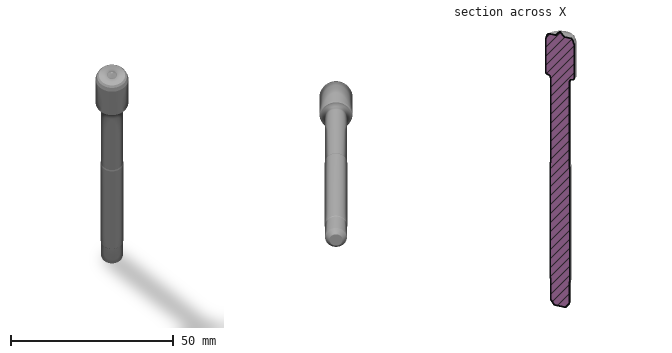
import cadquery as cq

total_length = 91.65
head_radius = 10.1 / 2
shaft_radius = 6.7 / 2
sleeve_radius = 7.0 / 2

point_radius = 3.0 / 2
point_height = point_radius

head_length = 13.4
top_chamfer = 0.55
taper_height = 1.3
taper_top_radius = 4.6
under_chamfer = 0.4
neck_fillet = 1.2

sleeve_top = 47.6
sleeve_top_taper = 0.55
sleeve_bottom = 8.6
sleeve_bottom_taper = 0.3

tip_height = 1.6
tip_radius = 2.0

head_top = total_length - point_height
taper_top = head_top - top_chamfer
taper_bottom = taper_top - taper_height
head_bottom = head_top - head_length - under_chamfer
neck_bottom = head_bottom - neck_fillet


def make_body():
    """Revolve the lower end, shaft, sleeve and head as one half profile."""
    fillet_drop = neck_fillet * 0.5 ** 0.5
    fillet_middle = (
        shaft_radius + neck_fillet - fillet_drop,
        neck_bottom + fillet_drop,
    )
    profile = (
        cq.Workplane("XZ")
        .moveTo(0, 0)
        .lineTo(tip_radius, 0)
        .lineTo(shaft_radius, tip_height)
        .lineTo(shaft_radius, sleeve_bottom)
        .lineTo(sleeve_radius, sleeve_bottom + sleeve_bottom_taper)
        .lineTo(sleeve_radius, sleeve_top - sleeve_top_taper)
        .lineTo(shaft_radius, sleeve_top)
        .lineTo(shaft_radius, neck_bottom)
        .threePointArc(fillet_middle, (shaft_radius + neck_fillet, head_bottom))
        .lineTo(head_radius - under_chamfer, head_bottom)
        .lineTo(head_radius, head_bottom + under_chamfer)
        .lineTo(head_radius, taper_bottom)
        .lineTo(taper_top_radius, taper_top)
        .lineTo(taper_top_radius - top_chamfer, head_top)
        .lineTo(point_radius, head_top)
        .lineTo(0, total_length)
        .close()
    )
    return profile.revolve(360, (0, 0, 0), (0, 1, 0))


result = make_body()